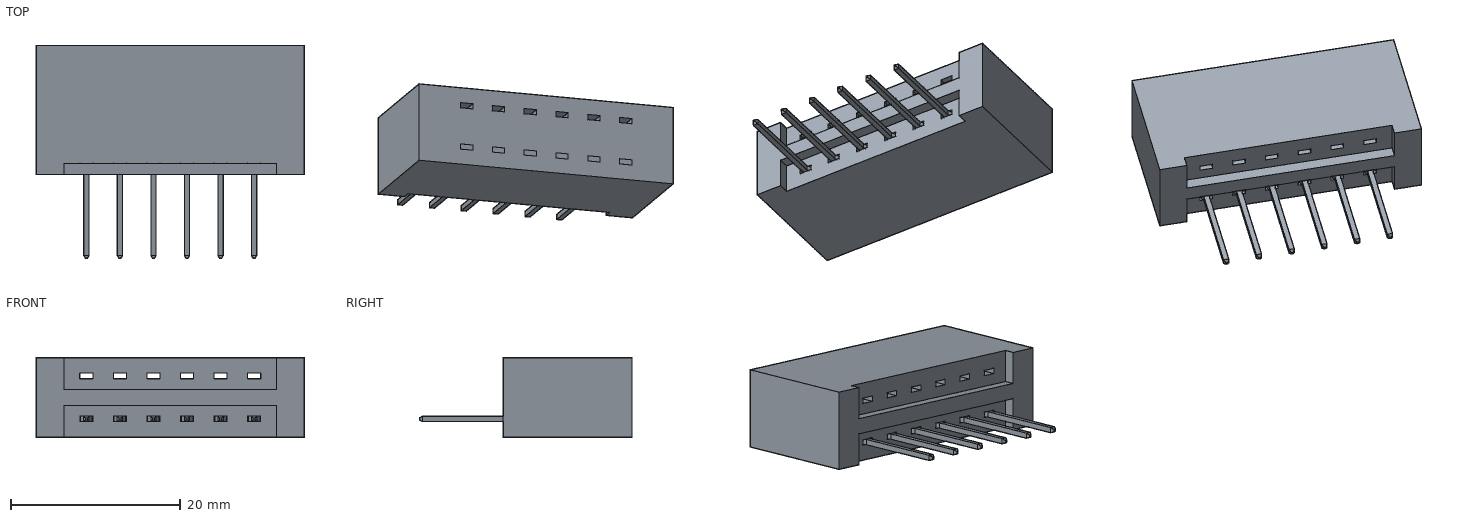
import cadquery as cq

housing_width = 31.65
housing_depth = 15.24
housing_height = 9.4

recess_width = 25.1
recess_depth = 1.32
rib_height = 1.85
recess_height = (housing_height - rib_height) / 2

contact_count = 6
contact_pitch = 3.96
row_offset = 2.54
contact_xs = [(i - (contact_count - 1) / 2) * contact_pitch for i in range(contact_count)]

slot_width = 1.52
slot_height = 0.64

shoulder_width = 1.36
pin_size = slot_height
pin_reach = 9.91
tip_length = 0.36
tip_size = 0.24
shoulder_length = 0.9
shoulder_overhang = 0.15


def make_housing():
    """Block with two front recesses and two rows of contact slots running through it."""
    block = cq.Workplane("XY").box(housing_width, housing_depth, housing_height)
    block = block.translate((0, housing_depth / 2, 0))
    recess_z = (rib_height + recess_height) / 2
    for side in (-1, 1):
        recess = cq.Workplane("XY").box(recess_width, recess_depth, recess_height)
        block = block.cut(recess.translate((0, recess_depth / 2, side * recess_z)))
        for x in contact_xs:
            slot = cq.Workplane("XY").box(slot_width, housing_depth, slot_height)
            block = block.cut(slot.translate((x, housing_depth / 2, side * row_offset)))
    return block


def make_pin(x):
    """Flat blade filling a lower slot, stepped and tapered to a square shank with a pyramid tip."""
    shoulder_front = recess_depth - shoulder_overhang
    shoulder_back = shoulder_front + shoulder_length
    tip_base = tip_length - pin_reach
    blade_and_shank = (
        cq.Workplane("XY")
        .moveTo(-slot_width / 2, housing_depth)
        .lineTo(-slot_width / 2, shoulder_back)
        .lineTo(-shoulder_width / 2, shoulder_back)
        .lineTo(-pin_size / 2, shoulder_front)
        .lineTo(-pin_size / 2, tip_base)
        .lineTo(pin_size / 2, tip_base)
        .lineTo(pin_size / 2, shoulder_front)
        .lineTo(shoulder_width / 2, shoulder_back)
        .lineTo(slot_width / 2, shoulder_back)
        .lineTo(slot_width / 2, housing_depth)
        .close()
        .extrude(pin_size / 2, both=True)
    )
    tip = (
        cq.Workplane("XZ", origin=(0, tip_base, 0))
        .rect(pin_size, pin_size)
        .workplane(offset=tip_length)
        .rect(tip_size, tip_size)
        .loft(ruled=True)
    )
    return blade_and_shank.union(tip).translate((x, 0, -row_offset))


housing = make_housing()
pins = [make_pin(x) for x in contact_xs]
result = cq.Compound.makeCompound([housing.val(), *[pin.val() for pin in pins]])